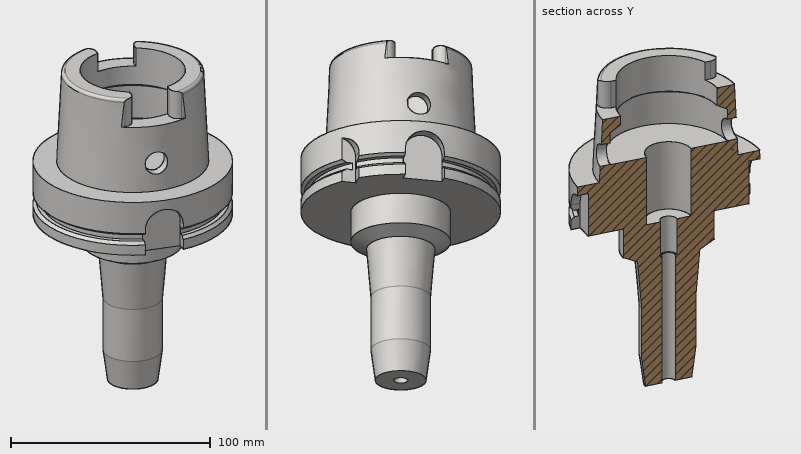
import cadquery as cq
import math

total_height = 170.0
taper_length = 50.0
flange_thickness = 29.0
flange_top = total_height - taper_length
flange_bottom = flange_top - flange_thickness

taper_base_radius = 38.0
taper_slope = 1 / 20
taper_top_radius = taper_base_radius - taper_length * taper_slope
rim_fillet = 1.7

flange_radius = 50.0
groove_radius = 45.9
groove_bevel_radius = 48.3
groove_upper_edge = flange_top - 17.2
groove_upper_floor = flange_top - 18.5
groove_lower_floor = flange_top - 22.1
groove_lower_edge = flange_top - 23.6

collar_radius = 25.0
collar_bottom = 75.0
neck_top_radius = 17.2
neck_top = 70.9
shank_radius = 15.0
shank_top = 44.9
nose_top = 16.3
nose_tip_radius = 12.8

mouth_radius = 26.4
mouth_bottom = total_height - 20.0
undercut_radius = 32.0
undercut_angle = 30
undercut_drop = (undercut_radius - mouth_radius) * math.tan(math.radians(undercut_angle))
undercut_top = mouth_bottom - undercut_drop
cavity_floor = flange_top + 8.8
socket_radius = 12.0
socket_floor = flange_bottom
relief_radius = 4.5
relief_floor = neck_top
through_radius = 3.5

notch_width = 20.0
shallow_notch_depth = 10.0
deep_notch_depth = 15.0
lug_half_length = 32.1
lug_corner_radius = 5.0

cross_hole_radius = 6.0
cross_hole_height = flange_top + 15.0

slot_width = 20.0
slot_top = flange_top - 5.1
slot_floor = 44.0
side_slot_floor = 32.0
side_slot_center = 41.5


def revolved_body():
    outline = (
        cq.Workplane("XZ")
        .moveTo(0, 0)
        .lineTo(nose_tip_radius, 0)
        .lineTo(shank_radius, nose_top)
        .lineTo(shank_radius, shank_top)
        .lineTo(neck_top_radius, neck_top)
        .lineTo(collar_radius, collar_bottom)
        .lineTo(collar_radius, flange_bottom)
        .lineTo(flange_radius, flange_bottom)
        .lineTo(flange_radius, groove_lower_edge)
        .lineTo(groove_bevel_radius, groove_lower_floor)
        .lineTo(groove_radius, groove_lower_floor)
        .lineTo(groove_radius, groove_upper_floor)
        .lineTo(groove_bevel_radius, groove_upper_floor)
        .lineTo(flange_radius, groove_upper_edge)
        .lineTo(flange_radius, flange_top)
        .lineTo(taper_base_radius, flange_top)
        .lineTo(taper_top_radius, total_height)
        .lineTo(0, total_height)
        .close()
    )
    body = outline.revolve(360, (0, 0, 0), (0, 1, 0))
    return body.faces(">Z").edges().fillet(rim_fillet)


def internal_bore():
    outline = (
        cq.Workplane("XZ")
        .moveTo(0, 0)
        .lineTo(through_radius, 0)
        .lineTo(through_radius, relief_floor)
        .lineTo(relief_radius, relief_floor)
        .lineTo(relief_radius, socket_floor)
        .lineTo(socket_radius, socket_floor)
        .lineTo(socket_radius, cavity_floor)
        .lineTo(undercut_radius, cavity_floor)
        .lineTo(undercut_radius, undercut_top)
        .lineTo(mouth_radius, mouth_bottom)
        .lineTo(mouth_radius, total_height)
        .lineTo(0, total_height)
        .close()
    )
    return outline.revolve(360, (0, 0, 0), (0, 1, 0))


def driver_notch(side, depth):
    """Rim notch that leaves lugs with flat ends and rounded corners; side is -1 or +1."""
    half_width = notch_width / 2
    corner_start = lug_half_length - lug_corner_radius
    corner_end = half_width + lug_corner_radius
    corner_mid_offset = lug_corner_radius * math.sqrt(0.5)
    corner_mid_x = corner_start + corner_mid_offset
    corner_mid_y = corner_end - corner_mid_offset
    return (
        cq.Workplane("XY")
        .workplane(offset=total_height - depth)
        .moveTo(0, half_width)
        .lineTo(side * corner_start, half_width)
        .threePointArc((side * corner_mid_x, corner_mid_y), (side * lug_half_length, corner_end))
        .lineTo(side * lug_half_length, taper_base_radius)
        .lineTo(side * taper_base_radius, taper_base_radius)
        .lineTo(side * taper_base_radius, -taper_base_radius)
        .lineTo(side * lug_half_length, -taper_base_radius)
        .lineTo(side * lug_half_length, -corner_end)
        .threePointArc((side * corner_mid_x, -corner_mid_y), (side * corner_start, -half_width))
        .lineTo(0, -half_width)
        .close()
        .extrude(depth)
    )


def flange_slot(side, center_y, floor_distance):
    """Round-topped slot open at the flange bottom, cut inward along X to a flat floor."""
    radius = slot_width / 2
    arc_center = slot_top - radius
    return (
        cq.Workplane("YZ")
        .workplane(offset=side * floor_distance)
        .moveTo(center_y - radius, flange_bottom)
        .lineTo(center_y - radius, arc_center)
        .threePointArc((center_y, slot_top), (center_y + radius, arc_center))
        .lineTo(center_y + radius, flange_bottom)
        .close()
        .extrude(side * (flange_radius - floor_distance))
    )


def cross_hole():
    return (
        cq.Workplane("YZ")
        .center(0, cross_hole_height)
        .circle(cross_hole_radius)
        .extrude(taper_base_radius, both=True)
    )


result = revolved_body().cut(internal_bore()).cut(cross_hole())
for side, notch_depth in ((-1, shallow_notch_depth), (1, deep_notch_depth)):
    result = result.cut(driver_notch(side, notch_depth))
    result = result.cut(flange_slot(side, 0, slot_floor))
result = result.cut(flange_slot(-1, side_slot_center, side_slot_floor))